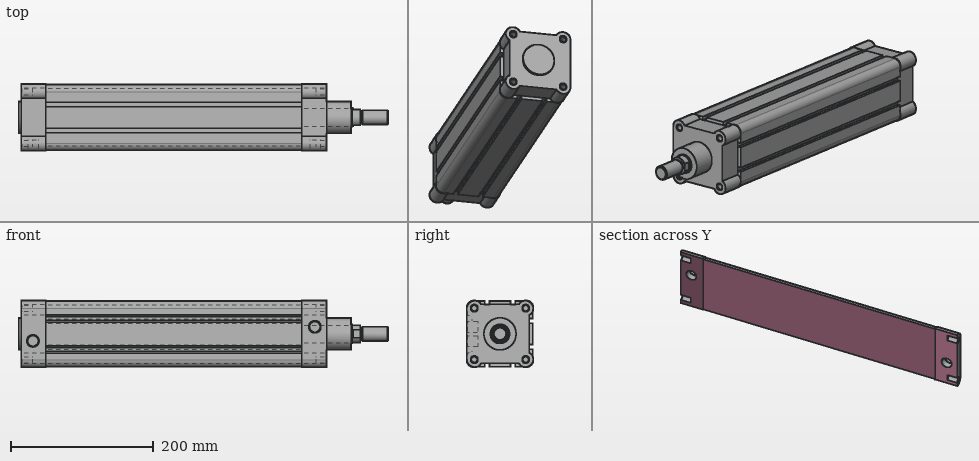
import cadquery as cq

total_length = 518.0
spigot_length = 3.5
cap_length = 34.5
tube_length = 358.5
collar_length = 34.0
wiper_length = 1.5
shank_length = 11.5

cap_size = 94.0
cap_waist = 82.5
screw_spacing = 72.0
tube_size = 92.0

collar_diameter = 45.0
wiper_diameter = 27.0
rod_diameter = 25.0
rod_flat_width = 22.5
rod_flat_length = 10.0
thread_diameter = 20.0
thread_chamfer = 1.5
relief_length = 1.5

screw_hole_diameter = 8.5
screw_hole_depth = 15.5
screw_hole_chamfer = 1.0

port_diameter = 15.0
port_depth = 15.5
port_chamfer = 1.0
port_height = 10.0
port_inset = 16.5

slot_width = 6.0
slot_offset = 18.0
slot_depth = 5.0
groove_mouth = 10.5
groove_floor = 4.5
groove_offset = 22.0
groove_depth = 6.0

rear_cap_x = spigot_length
tube_x = rear_cap_x + cap_length
front_cap_x = tube_x + tube_length
collar_x = front_cap_x + cap_length
wiper_x = collar_x + collar_length
shank_x = wiper_x + wiper_length
relief_x = shank_x + shank_length
thread_x = relief_x + relief_length

lobe_radius = (cap_size - screw_spacing) / 2
tube_corner_radius = (tube_size - screw_spacing) / 2


def section_at(x):
    """Cross-section plane at x; its local axes are the part's Y and Z, and it extrudes toward +X."""
    return cq.Workplane("YZ", origin=(x, 0, 0))


def cylinder(x, diameter, length):
    return section_at(x).circle(diameter / 2).extrude(length)


def countersunk_hole(plane, diameter, depth, chamfer):
    """Cutter for a blind hole that enters along the plane's normal, with a chamfered mouth."""
    radius = diameter / 2
    bore = cq.Workplane(plane).circle(radius).extrude(depth)
    mouth = cq.Workplane(plane).circle(radius + chamfer).workplane(offset=chamfer).circle(radius).loft()
    return bore.union(mouth)


def cap_block(x):
    """Block with four round corner lobes; its -Y side is flat and flush with the lobes."""
    core = section_at(x).rect(cap_waist, cap_waist).extrude(cap_length)
    lobes = (
        section_at(x).rect(screw_spacing, screw_spacing, forConstruction=True).vertices()
        .circle(lobe_radius).extrude(cap_length)
    )
    flat_side_thickness = (cap_size - screw_spacing) / 2
    flat_side = (
        section_at(x).center(-(cap_size - flat_side_thickness) / 2, 0)
        .rect(flat_side_thickness, screw_spacing).extrude(cap_length)
    )
    return core.union(lobes).union(flat_side)


def drill_screw_holes(cap, end_x, direction):
    """Drill the four corner holes into the end face at end_x, going along +X or -X."""
    half_spacing = screw_spacing / 2
    for y in (-half_spacing, half_spacing):
        for z in (-half_spacing, half_spacing):
            plane = cq.Plane(origin=(end_x, y, z), xDir=(0, 1, 0), normal=(direction, 0, 0))
            cap = cap.cut(
                countersunk_hole(plane, screw_hole_diameter, screw_hole_depth, screw_hole_chamfer)
            )
    return cap


def drill_port(cap, x, z):
    """Drill an air port into the flat -Y side."""
    plane = cq.Plane(origin=(x, -cap_size / 2, z), xDir=(1, 0, 0), normal=(0, 1, 0))
    return cap.cut(countersunk_hole(plane, port_diameter, port_depth, port_chamfer))


def make_rear_cap():
    cap = cap_block(rear_cap_x).union(cylinder(0, collar_diameter, spigot_length + cap_length))
    cap = drill_screw_holes(cap, rear_cap_x, 1)
    return drill_port(cap, rear_cap_x + port_inset, -port_height)


def make_front_cap():
    cap = (
        cap_block(front_cap_x)
        .union(cylinder(collar_x, collar_diameter, collar_length))
        .union(cylinder(wiper_x, wiper_diameter, wiper_length))
    )
    rod_hole = cylinder(front_cap_x, rod_diameter, shank_x - front_cap_x)
    cap = drill_screw_holes(cap.cut(rod_hole), collar_x, -1)
    return drill_port(cap, collar_x - port_inset, port_height)


def make_tube():
    """Square profile with rounded corners and two lengthwise slots on each side."""
    half_size = tube_size / 2
    tube = (
        section_at(tube_x).rect(tube_size, tube_size).extrude(tube_length)
        .edges("|X").fillet(tube_corner_radius)
    )
    for side in (-1, 1):
        plain_slot = (
            section_at(tube_x).center(half_size - slot_depth / 2, side * slot_offset)
            .rect(slot_depth, slot_width).extrude(tube_length)
        )
        for angle in (-90, 0, 90):
            tube = tube.cut(plain_slot.rotate((0, 0, 0), (1, 0, 0), angle))
        groove_z = side * groove_offset
        tapered_groove = (
            section_at(tube_x)
            .moveTo(-half_size, groove_z - groove_mouth / 2)
            .lineTo(-half_size + groove_depth, groove_z - groove_floor / 2)
            .lineTo(-half_size + groove_depth, groove_z + groove_floor / 2)
            .lineTo(-half_size, groove_z + groove_mouth / 2)
            .close().extrude(tube_length)
        )
        tube = tube.cut(tapered_groove)
    return tube


def make_rod():
    """Piston rod from the tube's end face, with wrench flats and a chamfered threaded end."""
    shank = cylinder(front_cap_x, rod_diameter, relief_x - front_cap_x)
    flats_x = relief_x - rod_flat_length
    flats_keep = section_at(flats_x).rect(rod_flat_width, rod_diameter).extrude(rod_flat_length)
    flats_waste = cylinder(flats_x, rod_diameter, rod_flat_length).cut(flats_keep)
    relief = cylinder(relief_x, thread_diameter - 2 * thread_chamfer, relief_length)
    thread = (
        cylinder(thread_x, thread_diameter, total_length - thread_x)
        .faces("<X or >X").chamfer(thread_chamfer)
    )
    return shank.cut(flats_waste).union(relief).union(thread)


rear_cap = make_rear_cap()
tube = make_tube()
front_cap = make_front_cap()
rod = make_rod()

result = cq.Compound.makeCompound([rear_cap.val(), tube.val(), front_cap.val(), rod.val()])